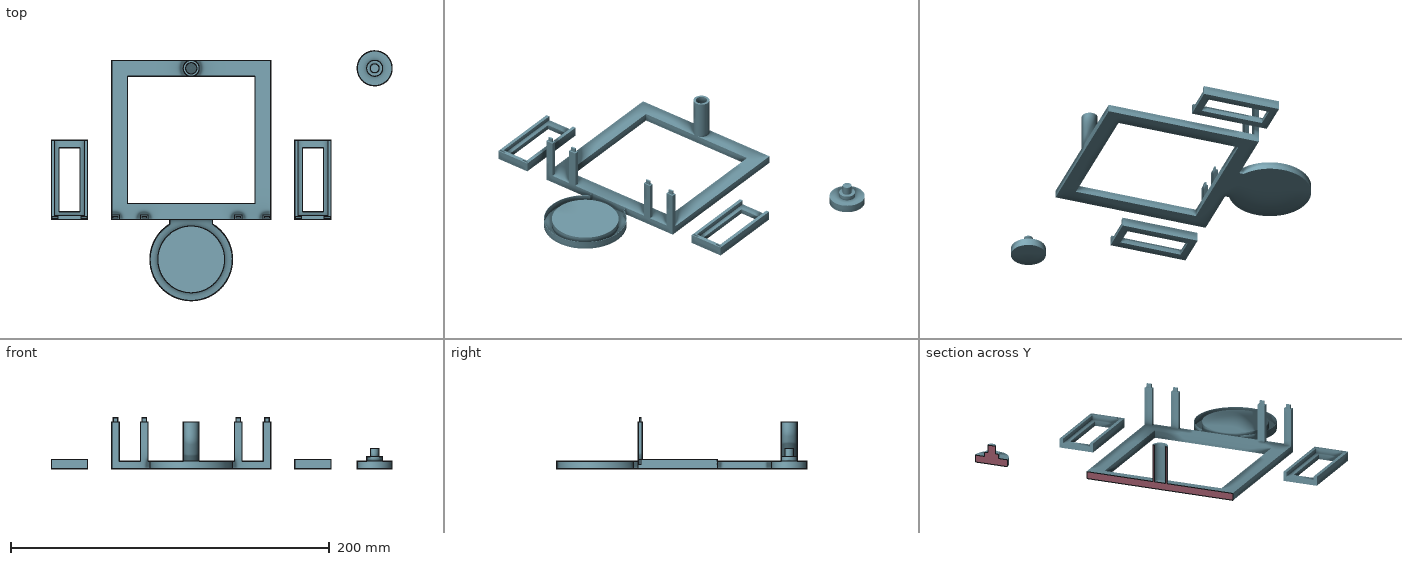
import cadquery as cq
frame_side = 100.0
frame_bar = 10.0
plate_thickness = 5.0
frame_window = frame_side - 2 * frame_bar
frame_edge = frame_side / 2

dish_diameter = 52.0
dish_disc_diameter = 42.0
dish_skin = 0.2
dish_offset = 25.0
dish_y = -frame_edge - dish_offset
neck_width = 27.0

tube_diameter = 10.0
tube_bore = 7.0
tube_y = frame_edge - frame_bar / 2

post_width = 5.0
post_depth = 2.8
post_top = 29.5
peg_width = 3.0
peg_depth = 1.0
peg_top = 32.0

tube_top = post_top

clip_width = 23.0
clip_length = 49.9
clip_height = 6.0
clip_floor = 3.0
rail_width = 2.1
end_bar_depth = 2.5
clip_window_width = 13.0
clip_window_length = 40.0
slot_width = 3.9
slot_depth = 1.3
slot_sink = 3.2
left_clip_gap = 37.9
right_clip_gap = 15.0

knob_base_diameter = 22.0
knob_collar_diameter = 10.0
knob_pin_diameter = 5.5
knob_collar_top = 7.7
knob_top = 12.8
knob_gap = 54.1

post_offset = (clip_width - post_width) / 2
post_pair_x = frame_edge - clip_width / 2
SIDES = (-1, 1)


def block(width, depth, bottom, top, x, y):
    """Upright box centred on (x, y) between two heights."""
    return cq.Workplane("XY", origin=(x, y, bottom)).rect(width, depth).extrude(top - bottom)


def disc(diameter, bottom, top, x, y):
    """Upright cylinder centred on (x, y) between two heights."""
    return cq.Workplane("XY", origin=(x, y, bottom)).circle(diameter / 2).extrude(top - bottom)


def keyhole(inset, bottom):
    """Dish disc with its neck, shrunk sideways by an inset and open to the frame at the neck."""
    neck_y = dish_y + dish_offset / 2
    neck = block(neck_width - 2 * inset, dish_offset, bottom, plate_thickness, 0, neck_y)
    return disc(dish_diameter - 2 * inset, bottom, plate_thickness, 0, dish_y).union(neck)


def make_dish():
    tray = keyhole(0, 0).cut(keyhole(dish_skin, dish_skin))
    return tray.union(disc(dish_disc_diameter, 0, plate_thickness, 0, dish_y))


def make_tube():
    bore = disc(tube_bore, plate_thickness, tube_top, 0, tube_y)
    return disc(tube_diameter, plate_thickness, tube_top, 0, tube_y).cut(bore)


def make_post(x):
    y = -frame_edge + post_depth / 2
    post = block(post_width, post_depth, 0, post_top, x, y)
    return post.union(block(peg_width, peg_depth, post_top, peg_top, x, y))


def make_frame():
    frame = block(frame_side, frame_side, 0, plate_thickness, 0, 0)
    frame = frame.cut(block(frame_window, frame_window, 0, plate_thickness, 0, 0))
    frame = frame.union(make_dish()).union(make_tube())
    for pair in SIDES:
        for side in SIDES:
            frame = frame.union(make_post(pair * post_pair_x + side * post_offset))
    return frame


def make_clip(x):
    front = -frame_edge
    middle = front + clip_length / 2
    clip = block(clip_width, clip_length, 0, clip_height, x, middle)
    tray_width = clip_width - 2 * rail_width
    clip = clip.cut(block(tray_width, clip_length, clip_floor, clip_height, x, middle + end_bar_depth))
    clip = clip.cut(block(clip_window_width, clip_window_length, 0, clip_height, x, middle))
    slot_y = front + end_bar_depth / 2
    for side in SIDES:
        slot_x = x + side * post_offset
        slot = block(slot_width, slot_depth, clip_height - slot_sink, clip_height, slot_x, slot_y)
        clip = clip.cut(slot)
    return clip


def make_knob():
    x = frame_edge + knob_gap + knob_base_diameter / 2
    knob = disc(knob_base_diameter, 0, plate_thickness, x, tube_y)
    knob = knob.union(disc(knob_collar_diameter, plate_thickness, knob_collar_top, x, tube_y))
    return knob.union(disc(knob_pin_diameter, knob_collar_top, knob_top, x, tube_y))


frame = make_frame()
clip_positions = (
    -frame_edge - left_clip_gap + clip_width / 2,
    frame_edge + right_clip_gap + clip_width / 2,
)
clips = [make_clip(x) for x in clip_positions]
knob = make_knob()

result = cq.Compound.makeCompound([frame.val(), *[clip.val() for clip in clips], knob.val()])